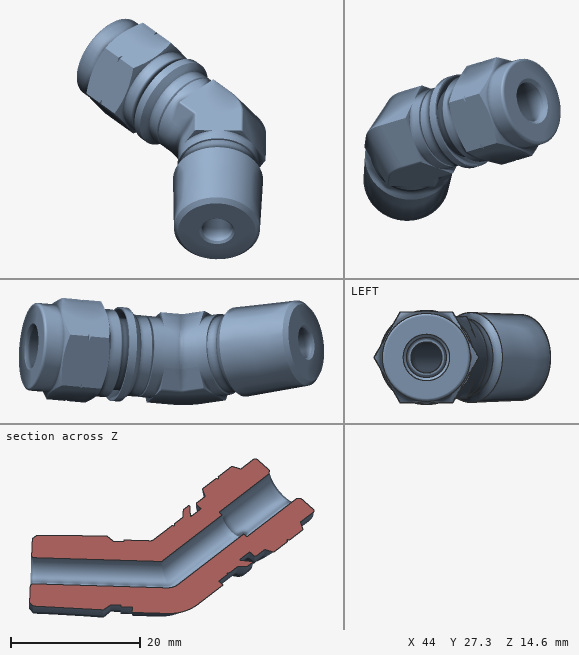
import cadquery as cq
import math

nut_diameter = 13.6
nut_length = 12.7
nut_face_fillet = 0.45
nut_rear_fillet = 0.3
hex_flats = 14.05
hex_start = 3.1
hex_end = 10.65
hex_chamfer_length = 0.65
notch_depth = 0.35
notch_width = 0.4

neck_diameter = 11.1
flange_diameter = 14.6
flange_start = 13.55
flange_recess_diameter = 14.1
flange_recess_depth = 1.25
flange_end = 14.8
flange_cone_end = 15.8
body_diameter = 12.6
groove_diameter = 12.0
groove_start = 17.58
groove_end = 17.95

elbow_start = 19.82
bend_x = 24.85
bend_angle = 45.0
elbow_end = 5.25
outer_bend_radius = 7.5
inner_bend_radius = 0.57
elbow_edge_fillet = 0.4

collar_end = 7.0
outlet_neck_diameter = 12.0
outlet_neck_end = 8.55
taper_start = 9.65
taper_large_diameter = 13.9
taper_small_diameter = 13.3
outlet_chamfer = 0.65
outlet_end = 21.15

bore_diameter = 4.8
socket_diameter = 6.2
socket_depth = 11.0
socket_mouth_diameter = 7.2
outlet_mouth_diameter = 5.45


def revolve_about_x(profile):
    """Turn (x, radius) points into a solid of revolution about the X axis."""
    first_x = profile[0][0]
    last_x = profile[-1][0]
    outline = [(first_x, 0)] + profile + [(last_x, 0)]
    return cq.Workplane("XY").polyline(outline).close().revolve(360, (0, 0, 0), (1, 0, 0))


def turn_to_outlet(shape):
    """Move a shape built along +X from the origin onto the outlet axis."""
    return shape.rotate((0, 0, 0), (0, 0, 1), -bend_angle).translate((bend_x, 0, 0))


def hex_bar(flats, start, end):
    """Hexagonal bar along X with two corners lying in the XY plane."""
    corners = flats / math.cos(math.radians(30))
    return cq.Workplane("YZ", origin=(start, 0, 0)).polygon(6, corners).extrude(end - start)


def make_nut():
    barrel = cq.Workplane("YZ").circle(nut_diameter / 2).extrude(nut_length)
    barrel = barrel.faces("<X").edges().fillet(nut_face_fillet)
    barrel = barrel.faces(">X").edges().fillet(nut_rear_fillet)

    corner_radius = hex_flats / 2 / math.cos(math.radians(30))
    middle = (hex_start + hex_end) / 2
    envelope = revolve_about_x([
        (hex_start, nut_diameter / 2),
        (hex_start + hex_chamfer_length, corner_radius),
        (middle - notch_width / 2, corner_radius),
        (middle, corner_radius - notch_depth),
        (middle + notch_width / 2, corner_radius),
        (hex_end - hex_chamfer_length, corner_radius),
        (hex_end, nut_diameter / 2),
    ])
    return barrel.union(hex_bar(hex_flats, hex_start, hex_end).intersect(envelope))


def make_inlet_body():
    body_radius = body_diameter / 2
    recess_bottom = flange_start + flange_recess_depth
    return revolve_about_x([
        (socket_depth, neck_diameter / 2),
        (recess_bottom, neck_diameter / 2),
        (flange_start, flange_recess_diameter / 2),
        (flange_start, flange_diameter / 2),
        (flange_end, flange_diameter / 2),
        (flange_cone_end, body_radius),
        (groove_start, body_radius),
        (groove_end, groove_diameter / 2),
        (groove_end, body_radius),
        (elbow_start, body_radius),
    ])


def elbow_leg(length):
    """Hexagonal leg from the origin along +X, rounded on its -Y side."""
    apothem = body_diameter / 2
    corner = apothem / math.cos(math.radians(30))
    tangent_y = apothem * math.cos(math.radians(30))
    tangent_z = apothem / 2
    section = (
        cq.Workplane("YZ")
        .moveTo(corner, 0)
        .lineTo(corner / 2, apothem)
        .lineTo(-corner / 2, apothem)
        .lineTo(-tangent_y, tangent_z)
        .threePointArc((-apothem, 0), (-tangent_y, -tangent_z))
        .lineTo(-corner / 2, -apothem)
        .lineTo(corner / 2, -apothem)
        .close()
    )
    overrun = body_diameter
    return section.extrude(length + overrun).translate((-overrun, 0, 0))


def make_elbow():
    room = 4 * body_diameter
    outlet_side = (
        cq.Workplane("XY").box(room, room, room)
        .translate((room / 2, 0, 0))
        .rotate((0, 0, 0), (0, 0, 1), -bend_angle / 2)
    )
    inlet_leg = elbow_leg(bend_x - elbow_start).mirror("YZ").cut(outlet_side)
    outlet_leg = elbow_leg(elbow_end).rotate((0, 0, 0), (0, 0, 1), -bend_angle)
    elbow = inlet_leg.union(outlet_leg.intersect(outlet_side)).clean()

    half_bend = math.radians(bend_angle / 2)
    along_mitre = cq.Vector(math.sin(half_bend), math.cos(half_bend), 0)
    across_mitre = cq.Vector(math.cos(half_bend), -math.sin(half_bend), 0)

    def mitre_edges(solid, low, high):
        """Edges in the mitre plane whose middle lies between two positions along it."""
        found = []
        for edge in solid.edges().vals():
            middle = edge.Center()
            in_plane = abs(middle.dot(across_mitre)) < 0.005
            if in_plane and low < middle.dot(along_mitre) < high:
                found.append(edge)
        return found

    reach = body_diameter
    elbow = elbow.newObject(mitre_edges(elbow, 0.45, reach)).fillet(outer_bend_radius)
    elbow = elbow.newObject(mitre_edges(elbow, -reach, -0.45)).fillet(inner_bend_radius)
    flat_edges = elbow.faces("<Z or >Z").edges("not(<X or >(1,-1,0))")
    elbow = flat_edges.fillet(elbow_edge_fillet)
    return elbow.translate((bend_x, 0, 0))


def make_outlet():
    return turn_to_outlet(revolve_about_x([
        (elbow_end, body_diameter / 2),
        (collar_end, body_diameter / 2),
        (collar_end, outlet_neck_diameter / 2),
        (outlet_neck_end, outlet_neck_diameter / 2),
        (taper_start, taper_large_diameter / 2),
        (outlet_end - outlet_chamfer, taper_small_diameter / 2),
        (outlet_end, taper_small_diameter / 2 - outlet_chamfer),
    ]))


def make_bores():
    mouth_depth = (socket_mouth_diameter - socket_diameter) / 2
    inlet = revolve_about_x([
        (0, socket_mouth_diameter / 2),
        (mouth_depth, socket_diameter / 2),
        (socket_depth, socket_diameter / 2),
        (socket_depth, bore_diameter / 2),
        (bend_x, bore_diameter / 2),
    ])
    outlet_mouth_depth = (outlet_mouth_diameter - bore_diameter) / 2
    outlet = turn_to_outlet(revolve_about_x([
        (0, bore_diameter / 2),
        (outlet_end - outlet_mouth_depth, bore_diameter / 2),
        (outlet_end, outlet_mouth_diameter / 2),
    ]))
    bend = cq.Workplane("XY").sphere(bore_diameter / 2).translate((bend_x, 0, 0))
    return inlet.union(outlet).union(bend)


outside = make_nut().union(make_inlet_body())
for section in (make_elbow(), make_outlet()):
    outside = outside.union(section, clean=False)
result = outside.cut(make_bores(), clean=False)